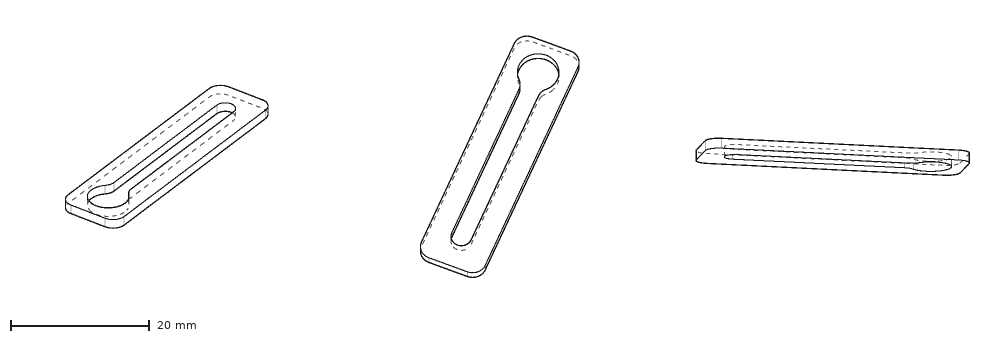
import cadquery as cq
import math

length = 39.0
width = 10.0
thickness = 1.5
corner_radius = 2.0

slot_width = 3.0
slot_end_margin = 3.5
hole_diameter = 6.0
hole_margin = 2.0
blend_radius = 2.0

slot_radius = slot_width / 2
hole_radius = hole_diameter / 2
slot_end_y = length / 2 - slot_end_margin
hole_y = -length / 2 + hole_margin + hole_radius


def make_plate():
    plate = cq.Workplane("XY").box(width, length, thickness)
    return plate.edges("|Z").fillet(corner_radius)


def make_keyhole():
    """Round hole running into a slot through arcs tangent to both."""
    blend_x = slot_radius + blend_radius
    center_distance = hole_radius + blend_radius
    blend_y = hole_y + math.sqrt(center_distance**2 - blend_x**2)

    touch_x = blend_x * hole_radius / center_distance
    touch_y = hole_y + (blend_y - hole_y) * hole_radius / center_distance

    half_angle = math.atan2(blend_y - hole_y, blend_x) / 2
    middle_x = blend_x - blend_radius * math.cos(half_angle)
    middle_y = blend_y - blend_radius * math.sin(half_angle)

    slot_shoulder_y = slot_end_y - slot_radius
    return (
        cq.Workplane("XY")
        .workplane(offset=-thickness / 2)
        .moveTo(slot_radius, blend_y)
        .lineTo(slot_radius, slot_shoulder_y)
        .threePointArc((0, slot_end_y), (-slot_radius, slot_shoulder_y))
        .lineTo(-slot_radius, blend_y)
        .threePointArc((-middle_x, middle_y), (-touch_x, touch_y))
        .threePointArc((0, hole_y - hole_radius), (touch_x, touch_y))
        .threePointArc((middle_x, middle_y), (slot_radius, blend_y))
        .close()
        .extrude(thickness)
    )


result = make_plate().cut(make_keyhole())